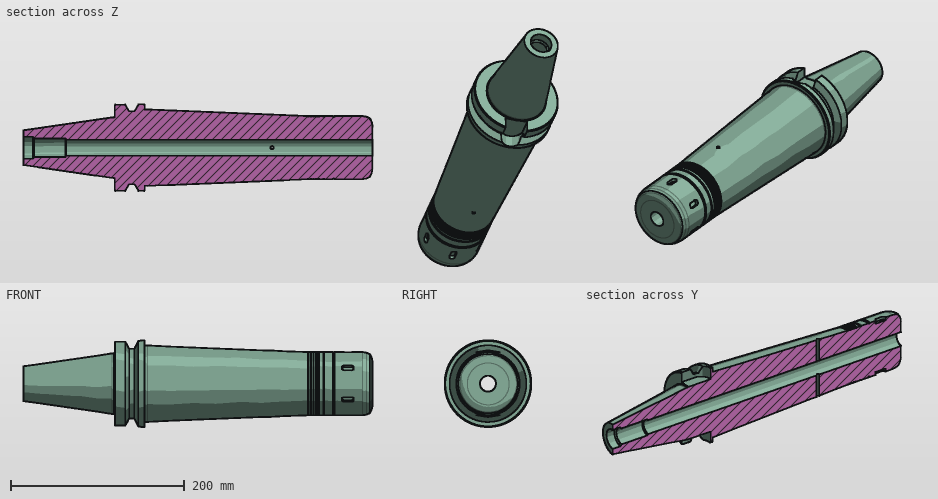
import cadquery as cq
import math

length = 402.0

taper_ratio = 7 / 24
gauge_diameter = 70.0
gauge_x = 101.5
neck_radius = gauge_diameter / 2
neck_chamfer = 1.0
shank_start_radius = (gauge_diameter - taper_ratio * gauge_x) / 2

flange_radius = 100.0 / 2
flange_start_x = 105.0
flange_end_x = 140.0
flange_chamfer = 1.0
groove_floor_radius = 42.0
groove_floor_start_x = 121.7
groove_floor_end_x = 127.8
groove_wall_angle = 30
groove_wall_run = (flange_radius - groove_floor_radius) * math.tan(math.radians(groove_wall_angle))
drive_slot_width = 25.7
drive_slot_floor = 35.5
drive_slot_end_x = 136.2

body_radius = 44.0
body_cone_start_x = 142.2
nose_radius = 73.0 / 2

ring_groove_floor_radius = 72.0 / 2
ring_groove_width = 1.0
ring_groove_start_x = 328.0
ring_groove_pitch = 2.97
ring_groove_steps = (0, 1, 2, 3, 4, 6)
body_cone_end_x = ring_groove_start_x - ring_groove_width / 2
nut_gap_floor_radius = 35.5
nut_gap_start_x = 356.0
nut_gap_end_x = 358.5
nut_gap_middle_x = (nut_gap_start_x + nut_gap_end_x) / 2

nut_taper_start = (389.7, nose_radius)
nut_taper_end = (394.5, 35.8)
nut_shoulder_outer = (398.0, 34.0)
nut_shoulder_inner = (399.5, 32.5)
nut_rim_middle = (401.0, 29.0)
nut_face_radius = 24.0

pocket_count = 6
pocket_length = 14.0
pocket_width = 6.5
pocket_center_x = 373.3
pocket_floor_radius = 32.5

mouth_diameter = 25.0
mouth_depth = 11.0
thread_diameter = 21.0
thread_start_x = 12.5
thread_end_x = 48.2
thread_tip_x = 49.5
through_diameter = 18.0
cross_hole_diameter = 3.4
cross_hole_x = 286.0


def make_body():
    """Solid of revolution: shank, flange, body and nut."""
    outline = [
        (0, 0),
        (0, shank_start_radius),
        (gauge_x, neck_radius),
        (flange_start_x - neck_chamfer, neck_radius),
        (flange_start_x, neck_radius + neck_chamfer),
        (flange_start_x, flange_radius - flange_chamfer),
        (flange_start_x + flange_chamfer, flange_radius),
        (groove_floor_start_x - groove_wall_run, flange_radius),
        (groove_floor_start_x, groove_floor_radius),
        (groove_floor_end_x, groove_floor_radius),
        (groove_floor_end_x + groove_wall_run, flange_radius),
        (flange_end_x - flange_chamfer, flange_radius),
        (flange_end_x, flange_radius - flange_chamfer),
        (flange_end_x, body_radius),
        (body_cone_start_x, body_radius),
        (body_cone_end_x, nose_radius),
        (nut_gap_start_x, nose_radius),
        (nut_gap_middle_x, nut_gap_floor_radius),
        (nut_gap_end_x, nose_radius),
        nut_taper_start,
        nut_taper_end,
        nut_shoulder_outer,
        nut_shoulder_inner,
    ]
    return (
        cq.Workplane("XY")
        .polyline(outline)
        .threePointArc(nut_rim_middle, (length, nut_face_radius))
        .lineTo(length, 0)
        .close()
        .revolve(360, (0, 0), (1, 0))
    )


def ring(start_x, end_x, floor_radius):
    """Cutter for a groove running round the nose down to floor_radius."""
    return (
        cq.Workplane("YZ", origin=(start_x, 0, 0))
        .circle(flange_radius)
        .circle(floor_radius)
        .extrude(end_x - start_x)
    )


def drive_slot():
    """Cutter for the upper drive slot: open at the shank side, round at the far end."""
    half_width = drive_slot_width / 2
    arc_x = drive_slot_end_x - half_width
    return (
        cq.Workplane("XY", origin=(0, 0, drive_slot_floor))
        .moveTo(flange_start_x, -half_width)
        .lineTo(arc_x, -half_width)
        .threePointArc((drive_slot_end_x, 0), (arc_x, half_width))
        .lineTo(flange_start_x, half_width)
        .close()
        .extrude(flange_radius)
    )


def pocket():
    """Cutter for the uppermost spanner pocket."""
    return (
        cq.Workplane("XY", origin=(pocket_center_x, 0, pocket_floor_radius))
        .slot2D(pocket_length, pocket_width)
        .extrude(nose_radius)
    )


def stepped_bore():
    """Cutter for the axial bore: wide mouth, thread hole and through hole with conical steps."""
    outline = [
        (0, 0),
        (0, mouth_diameter / 2),
        (mouth_depth, mouth_diameter / 2),
        (thread_start_x, thread_diameter / 2),
        (thread_end_x, thread_diameter / 2),
        (thread_tip_x, through_diameter / 2),
        (length, through_diameter / 2),
        (length, 0),
    ]
    return cq.Workplane("XY").polyline(outline).close().revolve(360, (0, 0), (1, 0))


result = make_body()

for step in ring_groove_steps:
    center_x = ring_groove_start_x + step * ring_groove_pitch
    half_width = ring_groove_width / 2
    result = result.cut(ring(center_x - half_width, center_x + half_width, ring_groove_floor_radius))

for angle in (0, 180):
    result = result.cut(drive_slot().rotate((0, 0, 0), (1, 0, 0), angle))

for index in range(pocket_count):
    angle = index * 360 / pocket_count
    result = result.cut(pocket().rotate((0, 0, 0), (1, 0, 0), angle))

result = result.cut(stepped_bore())

cross_hole = (
    cq.Workplane("XY", origin=(cross_hole_x, 0, 0))
    .circle(cross_hole_diameter / 2)
    .extrude(flange_radius, both=True)
)
result = result.cut(cross_hole)